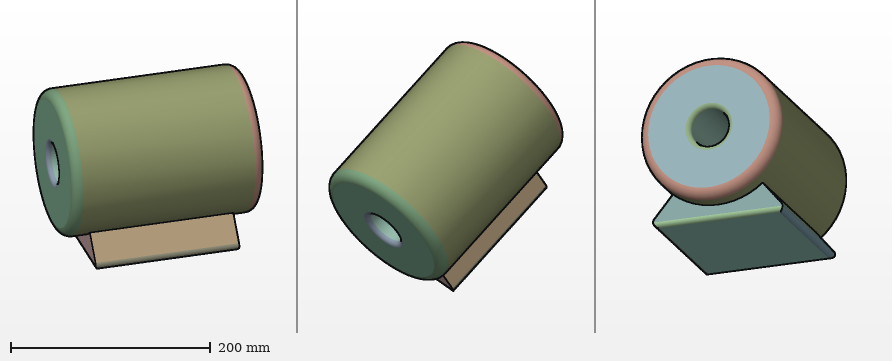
import cadquery as cq

body_length = 200.0
body_diameter = 150.0
body_rounding = 10.0

bore_diameter = 40.0
bore_rounding = 5.0

foot_length = 150.0
foot_bottom_width = body_diameter
foot_depth_below_axis = 90.0
foot_rounding = 5.0


def along_y(length):
    """Sketch plane facing -Y, set so that an extrusion of this length is centred on the origin."""
    return cq.Workplane("XZ", origin=(0, length / 2, 0))


def make_body():
    """Cylinder with rounded end rims."""
    cylinder = along_y(body_length).circle(body_diameter / 2).extrude(body_length)
    return cylinder.edges("%CIRCLE").fillet(body_rounding)


def make_foot():
    """Triangular prism with its apex on the body axis and its bottom edges rounded all round."""
    half_width = foot_bottom_width / 2
    prism = (
        along_y(foot_length)
        .moveTo(0, 0)
        .lineTo(half_width, -foot_depth_below_axis)
        .lineTo(-half_width, -foot_depth_below_axis)
        .close()
        .extrude(foot_length)
    )
    return prism.faces("<Z").edges().fillet(foot_rounding)


def cut_bore(part):
    """Cut the bore through the part and round both of its mouths."""
    bore = along_y(body_length).circle(bore_diameter / 2).extrude(body_length)
    bored = part.cut(bore)
    mouths = bored.faces("<Y or >Y").edges(cq.selectors.RadiusNthSelector(0))
    return mouths.fillet(bore_rounding)


result = cut_bore(make_body().union(make_foot()))